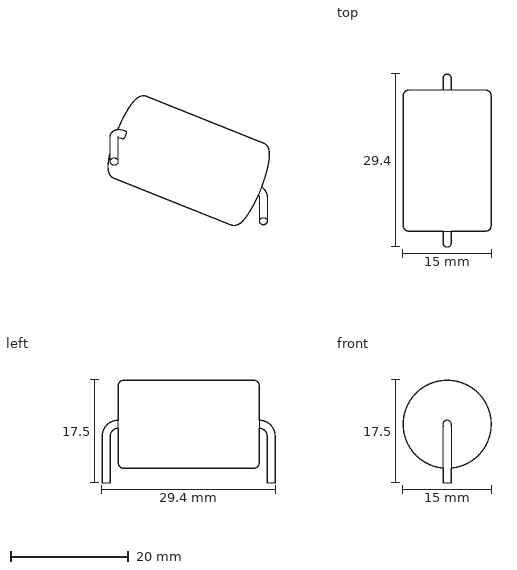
import cadquery as cq

body_diameter = 15.0
body_length = 24.0
edge_radius = 1.0

lead_diameter = 1.4
lead_bend_radius = 2.0
lead_clearance = 2.5
lead_embed = 1.0

axis_height = body_diameter / 2
face_y = body_length / 2


def make_body():
    """Cylinder along Y with both rim edges rounded."""
    return (
        cq.Workplane("XZ", origin=(0, face_y, axis_height))
        .circle(body_diameter / 2)
        .extrude(body_length)
        .edges("%CIRCLE")
        .fillet(edge_radius)
    )


def make_lead(side):
    """Wire leaving the end face at side * Y, then bending down to its tip."""
    start_y = side * (face_y - lead_embed)
    bend_start = (side * face_y, axis_height)
    bend_end = (side * (face_y + lead_bend_radius), axis_height - lead_bend_radius)
    tip = (bend_end[0], -lead_clearance)
    path = (
        cq.Workplane("YZ")
        .moveTo(start_y, axis_height)
        .lineTo(*bend_start)
        .tangentArcPoint(bend_end, relative=False)
        .lineTo(*tip)
    )
    return (
        cq.Workplane("XZ", origin=(0, start_y, axis_height))
        .circle(lead_diameter / 2)
        .sweep(path)
    )


result = make_body()
for side in (-1, 1):
    result = result.union(make_lead(side))